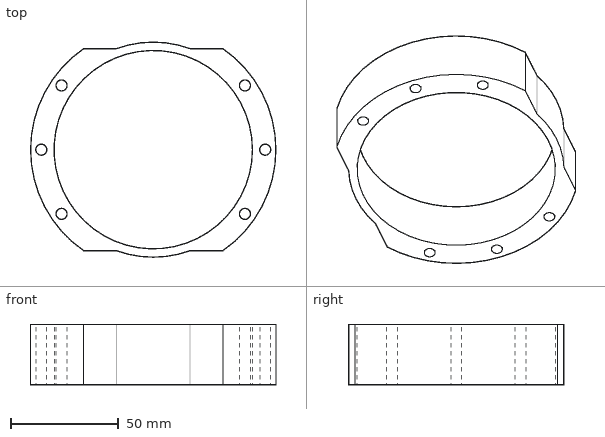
import cadquery as cq

height = 28.0
flange_diameter = 114.0
body_diameter = 100.0
bore_diameter = 92.0
width_across_flats = 93.9
bolt_circle_diameter = 104.0
bolt_hole_diameter = 5.0
bolt_spacing_angle = 35.0


def flatted_flange():
    """Outer disc trimmed by two flats facing +Y and -Y."""
    disc = cq.Workplane("XY").circle(flange_diameter / 2).extrude(height)
    trim = cq.Workplane("XY").rect(flange_diameter, width_across_flats).extrude(height)
    return disc.intersect(trim)


def round_body():
    """Smaller disc that bulges out past the middle of each flat."""
    return cq.Workplane("XY").circle(body_diameter / 2).extrude(height)


def bore():
    return cq.Workplane("XY").circle(bore_diameter / 2).extrude(height)


def bolt_holes():
    """Three through holes centred on each of the +X and -X sides."""
    holes = cq.Workplane("XY")
    for side_angle in (0, 180):
        holes = holes.polarArray(
            bolt_circle_diameter / 2,
            side_angle - bolt_spacing_angle,
            bolt_spacing_angle,
            3,
            fill=False,
        ).circle(bolt_hole_diameter / 2)
    return holes.extrude(height)


result = flatted_flange().union(round_body()).cut(bore()).cut(bolt_holes())